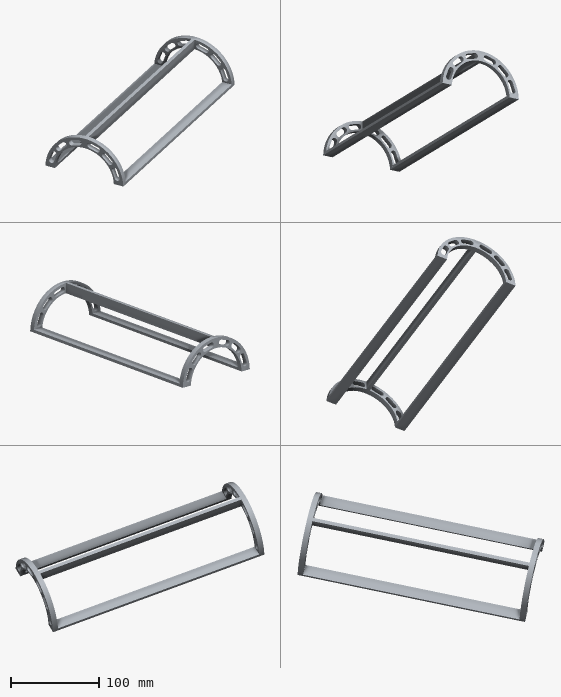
import cadquery as cq
import math

total_length = 264.0
frame_height = 48.8
outer_diameter = 100.5
outer_radius = outer_diameter / 2
inner_radius = 38.0
base_z = outer_radius - frame_height

arch_thickness = 6.3

slot_circle_radius = 43.3
slot_width = 6.5
slot_length = 16.5
first_slot_angle = 16.0
slot_pitch_angle = 27.0
slots_per_side = 3

side_rail_height = 3.5
top_rail_width = 4.2
rail_length = total_length - 2 * arch_thickness


def ring_segment(length, x_min, x_max, z_min, z_max):
    """Part of the half-tube ring inside an X-Z window, running along Y and centred on Y = 0."""
    ring = (
        cq.Workplane("XZ")
        .circle(outer_radius)
        .circle(inner_radius)
        .extrude(length / 2, both=True)
    )
    window = cq.Workplane("XY").box(x_max - x_min, length, z_max - z_min).translate(
        ((x_min + x_max) / 2, 0, (z_min + z_max) / 2)
    )
    return ring.intersect(window)


def slot_cutter(angle):
    """Straight slot, tangent to the slot circle at an angle clockwise from vertical."""
    return (
        cq.Workplane("XZ")
        .center(
            slot_circle_radius * math.sin(math.radians(angle)),
            slot_circle_radius * math.cos(math.radians(angle)),
        )
        .slot2D(slot_length, slot_width, -angle)
        .extrude(arch_thickness, both=True)
    )


def end_arch(y_center):
    """Slotted arch plate standing on two flat feet."""
    arch = ring_segment(arch_thickness, -outer_radius, outer_radius, base_z, outer_radius)
    for index in range(slots_per_side):
        angle = first_slot_angle + index * slot_pitch_angle
        for side in (-1, 1):
            arch = arch.cut(slot_cutter(side * angle))
    return arch.translate((0, y_center, 0))


def side_rail(side):
    """Low rail joining the feet; its long faces follow the arch curves."""
    x_min, x_max = sorted((0, side * outer_radius))
    return ring_segment(rail_length, x_min, x_max, base_z, base_z + side_rail_height)


def top_rail():
    """Upright rail joining the crowns of the arches."""
    half_width = top_rail_width / 2
    return ring_segment(rail_length, -half_width, half_width, base_z, outer_radius)


arch_offset = (total_length - arch_thickness) / 2
arches = [end_arch(side * arch_offset) for side in (-1, 1)]
side_rails = [side_rail(side) for side in (-1, 1)]
crown_rail = top_rail()

result = cq.Compound.makeCompound(
    [body.val() for body in arches + side_rails + [crown_rail]]
)